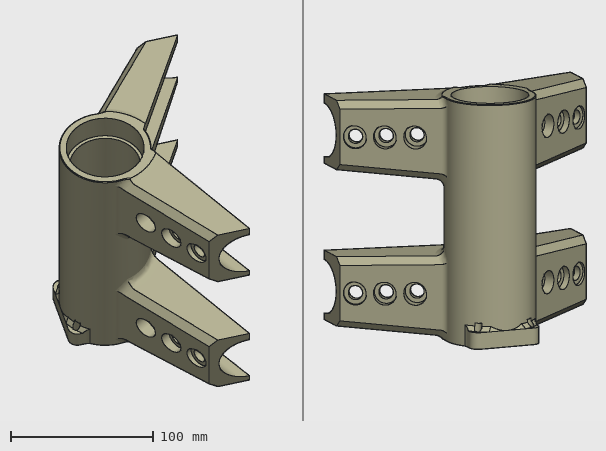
import cadquery as cq
import math

TUBE_HEIGHT = 175.0
TUBE_RADIUS = 32.5
BORE_RADIUS = 25.0
SEAT_RADIUS = 27.4
SEAT_DEPTH = 18.7
TUBE_TOP_CHAMFER = 0.5
TUBE_SPARE = 37.5

TIP_X = 93.7
TIP_BACK_Y = 79.3
TIP_THICKNESS = 29.6
TIP_HEIGHT = 50.0
LOWER_TIP_Z = 4.9
ARM_PITCH = 112.6
BACK_ANGLE = 30.0
FRONT_ANGLE = 38.3
TOP_SLOPE = 5.0
BOTTOM_SLOPE = 2.2
ARM_CHAMFER = 5.0
ARM_FILLET = 6.4

TROUGH_RADIUS = 19.3
TROUGH_SLOPE = 3.2
TROUGH_TIP_Z = 28.9

BOLT_DISTANCES = [51.5, 73.5, 95.2]
BOLT_RADIUS = 5.0
BOLT_HEAD_RADIUS = 8.2
BOLT_SEAT_WALL = 5.0

FOOT_HALF_WIDTH = 26.0
FOOT_HEIGHT = 12.0
FOOT_CORNER_RADIUS = 6.5
FLARE_WIDTH = 2.8
FLARE_HEIGHT = 3.4
FLARE_FRONT_ANGLE = 57.0
GUSSET_X = 26.6
GUSSET_FRONT_Y = -20.8
FOOT_HOLE_X = 19.9
FOOT_HOLE_Y = -26.5
FOOT_HOLE_RADIUS = 2.6
FOOT_HOLE_DEPTH = 17.5

TOLERANCE = 0.02

back_direction = cq.Vector(math.cos(math.radians(BACK_ANGLE)), math.sin(math.radians(BACK_ANGLE)), 0)
front_normal = cq.Vector(back_direction.y, -back_direction.x, 0)
tip_corner = cq.Vector(TIP_X, TIP_BACK_Y, 0)
tip_distance = tip_corner.dot(back_direction)
back_offset = tip_corner.dot(front_normal)


def tan_deg(angle):
    return math.tan(math.radians(angle))


def arm_point(distance, offset, z):
    """Point at a distance along the arm and an offset towards its front."""
    return back_direction * distance + front_normal * offset + cq.Vector(0, 0, z)


def trough_z(distance):
    """Height of the lower trough's axis at a distance along the arm."""
    return TROUGH_TIP_Z + (tip_distance - distance) * tan_deg(TROUGH_SLOPE)


def make_wedge():
    """Lower right arm, running inwards to the plane X = 0."""
    tip_front_y = TIP_BACK_Y - TIP_THICKNESS
    tip_top_z = LOWER_TIP_Z + TIP_HEIGHT
    plan = (
        cq.Workplane("XY")
        .workplane(offset=-TIP_HEIGHT)
        .polyline([
            (0, TIP_BACK_Y - TIP_X * tan_deg(BACK_ANGLE)),
            (TIP_X, TIP_BACK_Y),
            (TIP_X, tip_front_y),
            (0, tip_front_y - TIP_X * tan_deg(FRONT_ANGLE)),
        ])
        .close()
        .extrude(3 * TIP_HEIGHT)
    )
    side = (
        cq.Workplane("XZ")
        .polyline([
            (0, LOWER_TIP_Z - TIP_X * tan_deg(BOTTOM_SLOPE)),
            (TIP_X, LOWER_TIP_Z),
            (TIP_X, tip_top_z),
            (0, tip_top_z + TIP_X * tan_deg(TOP_SLOPE)),
        ])
        .close()
        .extrude(TIP_X, both=True)
    )
    wedge = plan.intersect(side)
    lengthwise = "not(|Z or |Y)"
    front_edges = [edge for edge in wedge.edges(lengthwise).vals() if not is_on_back(edge)]
    return wedge.newObject(front_edges).chamfer(ARM_CHAMFER)


def is_on_back(edge):
    """True for an edge of a right arm that lies on its flat back."""
    return abs(edge.positionAt(0.5).dot(front_normal) - back_offset) < TOLERANCE


def on_all_levels_and_sides(shape):
    """Four copies: right and left, lower and upper."""
    pair = shape.union(shape.mirror("YZ"))
    return pair.union(pair.translate((0, 0, ARM_PITCH)))


def is_on_tube(edge):
    """True for an edge that lies on the tube's outer surface."""
    points = [edge.positionAt(t) for t in (0, 0.5, 1)]
    return all(abs(math.hypot(p.x, p.y) - TUBE_RADIUS) < TOLERANCE for p in points)


def is_root_edge(edge):
    """True where an arm meets the tube, apart from the arm's back face."""
    middle = edge.positionAt(0.5)
    in_front_of_back = cq.Vector(abs(middle.x), middle.y, 0).dot(front_normal) > back_offset + TOLERANCE
    between_tube_ends = abs(middle.z - TUBE_HEIGHT / 2) < TUBE_HEIGHT / 2 + ARM_FILLET
    return is_on_tube(edge) and in_front_of_back and between_tube_ends


def make_body():
    """Tube and arms with filleted roots, trimmed to the tube's ends."""
    tube = (
        cq.Workplane("XY")
        .workplane(offset=-TUBE_SPARE)
        .circle(TUBE_RADIUS)
        .extrude(TUBE_HEIGHT + 2 * TUBE_SPARE)
        .rotate((0, 0, 0), (0, 0, 1), 90)
    )
    body = tube.union(on_all_levels_and_sides(make_wedge()))
    roots = [edge for edge in body.edges().vals() if is_root_edge(edge)]
    body = body.newObject(roots).fillet(ARM_FILLET)
    slab = cq.Workplane("XY").box(3 * TIP_X, 3 * TIP_X, TUBE_HEIGHT, centered=(True, True, False))
    body = body.intersect(slab)
    rims = [edge for edge in body.faces(">Z").edges().vals() if is_on_tube(edge)]
    return body.newObject(rims).chamfer(TUBE_TOP_CHAMFER)


def cylinder_along(start, end, radius):
    axis = end - start
    return cq.Workplane(cq.Solid.makeCylinder(radius, axis.Length, start, axis))


def make_arm_cuts():
    """Trough outside the tube and the bolt holes of the lower right arm."""
    past_tip = tip_distance + TROUGH_RADIUS
    trough = cylinder_along(
        arm_point(0, back_offset, trough_z(0)),
        arm_point(past_tip, back_offset, trough_z(past_tip)),
        TROUGH_RADIUS,
    )
    cuts = trough.cut(cq.Workplane("XY").circle(TUBE_RADIUS).extrude(2 * TIP_HEIGHT))
    seat_offset = back_offset + TROUGH_RADIUS + BOLT_SEAT_WALL
    for distance in BOLT_DISTANCES:
        z = trough_z(distance)
        front = arm_point(distance, TUBE_RADIUS, z)
        cuts = cuts.union(cylinder_along(arm_point(distance, back_offset, z), front, BOLT_RADIUS))
        cuts = cuts.union(cylinder_along(arm_point(distance, seat_offset, z), front, BOLT_HEAD_RADIUS))
    return cuts


def make_foot():
    """Front block flared into the tube: a cone on top, thin gussets at the sides."""
    gusset_back_y = -math.sqrt(TUBE_RADIUS**2 - GUSSET_X**2)

    def block(height):
        gussets = (
            cq.Workplane("XY")
            .polyline([
                (-FOOT_HALF_WIDTH, GUSSET_FRONT_Y),
                (FOOT_HALF_WIDTH, GUSSET_FRONT_Y),
                (GUSSET_X, gusset_back_y),
                (-GUSSET_X, gusset_back_y),
            ])
            .close()
            .extrude(height)
        )
        return (
            cq.Workplane("XY")
            .center(0, -TUBE_RADIUS / 2)
            .rect(2 * FOOT_HALF_WIDTH, TUBE_RADIUS)
            .extrude(height)
            .edges("|Z and <Y")
            .fillet(FOOT_CORNER_RADIUS)
            .union(gussets)
        )

    flare_top = FOOT_HEIGHT + FLARE_HEIGHT
    flare = (
        cq.Workplane("XZ")
        .polyline([
            (0, 0),
            (TUBE_RADIUS + FLARE_WIDTH, 0),
            (TUBE_RADIUS + FLARE_WIDTH, FOOT_HEIGHT),
            (TUBE_RADIUS, flare_top),
            (0, flare_top),
        ])
        .close()
        .revolve(360, (0, 0, 0), (0, 1, 0))
    )
    front_trim = (
        cq.Workplane("YZ")
        .polyline([
            (-TUBE_RADIUS, FOOT_HEIGHT),
            (-TUBE_RADIUS, flare_top),
            (-TUBE_RADIUS + FLARE_HEIGHT / tan_deg(FLARE_FRONT_ANGLE), flare_top),
        ])
        .close()
        .extrude(FOOT_HALF_WIDTH, both=True)
    )
    return block(FOOT_HEIGHT).union(block(flare_top).intersect(flare).cut(front_trim))


def make_foot_holes():
    return (
        cq.Workplane("XY")
        .pushPoints([(-FOOT_HOLE_X, FOOT_HOLE_Y), (FOOT_HOLE_X, FOOT_HOLE_Y)])
        .circle(FOOT_HOLE_RADIUS)
        .extrude(FOOT_HOLE_DEPTH)
    )


def make_bore():
    """Through bore with a wider seat at its top."""
    bore = cq.Workplane("XY").circle(BORE_RADIUS).extrude(TUBE_HEIGHT)
    seat = cq.Workplane("XY").workplane(offset=TUBE_HEIGHT).circle(SEAT_RADIUS).extrude(-SEAT_DEPTH)
    return bore.union(seat)


result = (
    make_body()
    .cut(on_all_levels_and_sides(make_arm_cuts()))
    .union(make_foot())
    .cut(make_foot_holes())
    .cut(make_bore())
    .solids()
)